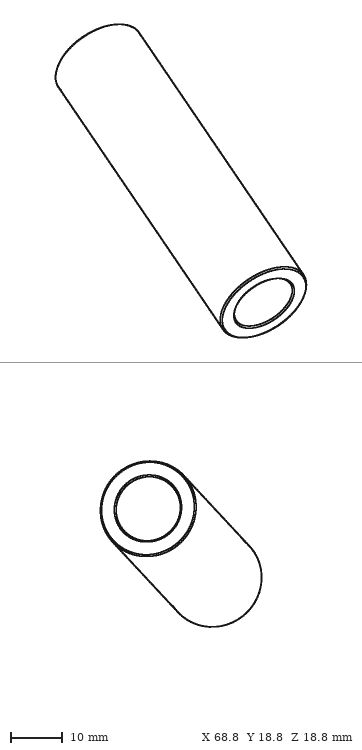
import cadquery as cq

length = 68.75
outer_diameter = 18.8
bore_diameter = 12.6
edge_chamfer = 0.3

tube = (
    cq.Workplane("YZ", origin=(-length / 2, 0, 0))
    .circle(outer_diameter / 2)
    .circle(bore_diameter / 2)
    .extrude(length)
)

result = tube.faces("<X or >X").edges().chamfer(edge_chamfer)